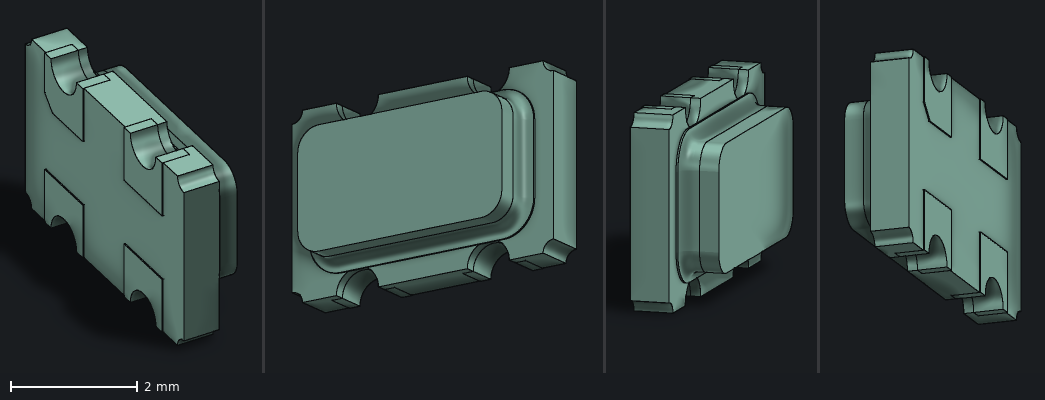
import cadquery as cq
import math

BASE_LENGTH = 5.0
BASE_WIDTH = 3.2
BASE_THICKNESS = 0.65
CORNER_NOTCH_RADIUS = 0.2

TERMINAL_SPACING = 2.5
TERMINAL_LENGTH = 1.2
TERMINAL_WIDTH = 1.0
TERMINAL_DEPTH = 0.5
TERMINAL_PROTRUSION = 0.02
CASTELLATION_RADIUS = 0.4
PIN_ONE_CHAMFER = 0.25

LID_LENGTH = 3.9
LID_WIDTH = 2.1
LID_THICKNESS = 0.32
LID_CORNER_RADIUS = 0.4
FLANGE_THICKNESS = 0.03
FRAME_FILLET_RADIUS = 0.19
FRAME_STRAIGHT_HEIGHT = 0.11

FRAME_HEIGHT = FLANGE_THICKNESS + FRAME_FILLET_RADIUS + FRAME_STRAIGHT_HEIGHT
FRAME_BACK = BASE_THICKNESS + FRAME_HEIGHT
TERMINAL_FRONT = -TERMINAL_PROTRUSION
TERMINAL_SIDES = [(side_x, side_z) for side_x in (-1, 1) for side_z in (-1, 1)]


def section_at(y):
    """Workplane parallel to XZ at height y, extruding toward +Y; local axes are (-X, Z)."""
    return cq.Workplane(cq.Plane(origin=(0, y, 0), xDir=(-1, 0, 0), normal=(0, 1, 0)))


def plate(length, width, y, thickness):
    return section_at(y).rect(length, width).extrude(thickness)


def rounded_plate(length, width, corner_radius, y, thickness):
    return plate(length, width, y, thickness).edges("|Y").fillet(corner_radius)


def terminal_block(side_x, side_z):
    """Terminal block flush with one long edge of the base; the pin-one block has a cut corner."""
    center_x = side_x * TERMINAL_SPACING / 2
    center_z = side_z * (BASE_WIDTH - TERMINAL_WIDTH) / 2
    pin_one = (side_x, side_z) == (-1, 1)
    block = plate(TERMINAL_LENGTH, TERMINAL_WIDTH, TERMINAL_FRONT, TERMINAL_DEPTH)
    if pin_one:
        block = block.edges("|Y and <X and <Z").chamfer(PIN_ONE_CHAMFER)
    return block.translate((center_x, 0, center_z))


def make_castellations():
    """Cylinders that cut the half-round grooves through base and terminals."""
    return (
        section_at(TERMINAL_FRONT)
        .rect(TERMINAL_SPACING, BASE_WIDTH, forConstruction=True)
        .vertices()
        .circle(CASTELLATION_RADIUS)
        .extrude(BASE_THICKNESS + TERMINAL_PROTRUSION)
    )


def make_terminal(side_x, side_z):
    return terminal_block(side_x, side_z).cut(make_castellations())


def make_base():
    base = plate(BASE_LENGTH, BASE_WIDTH, 0, BASE_THICKNESS)
    corner_notches = (
        section_at(0)
        .rect(BASE_LENGTH, BASE_WIDTH, forConstruction=True)
        .vertices()
        .circle(CORNER_NOTCH_RADIUS)
        .extrude(BASE_THICKNESS)
    )
    base = base.cut(corner_notches).cut(make_castellations())
    for side_x, side_z in TERMINAL_SIDES:
        base = base.cut(terminal_block(side_x, side_z))
    return base


def make_seal_frame():
    """Thin flange that sweeps up through a concave fillet to the lid outline."""
    outline = rounded_plate(
        LID_LENGTH + 2 * FRAME_FILLET_RADIUS,
        LID_WIDTH + 2 * FRAME_FILLET_RADIUS,
        LID_CORNER_RADIUS + FRAME_FILLET_RADIUS,
        BASE_THICKNESS,
        FRAME_HEIGHT,
    )
    wall_x = LID_LENGTH / 2
    flange_x = wall_x + FRAME_FILLET_RADIUS
    flange_back = BASE_THICKNESS + FLANGE_THICKNESS
    cove_back = flange_back + FRAME_FILLET_RADIUS
    arc_inset = FRAME_FILLET_RADIUS * math.cos(math.pi / 4)
    riser = rounded_plate(LID_LENGTH, LID_WIDTH, LID_CORNER_RADIUS, cove_back, FRAME_STRAIGHT_HEIGHT)
    cove_path = riser.faces("<Y").wires()
    cove = (
        cq.Workplane("XY")
        .moveTo(wall_x, FRAME_BACK)
        .lineTo(wall_x, cove_back)
        .threePointArc((flange_x - arc_inset, cove_back - arc_inset), (flange_x, flange_back))
        .lineTo(flange_x, FRAME_BACK)
        .close()
        .sweep(cove_path)
    )
    return outline.cut(cove)


def make_lid():
    return rounded_plate(LID_LENGTH, LID_WIDTH, LID_CORNER_RADIUS, FRAME_BACK, LID_THICKNESS)


base = make_base()
seal_frame = make_seal_frame()
lid = make_lid()
terminals = [make_terminal(side_x, side_z) for side_x, side_z in TERMINAL_SIDES]

result = cq.Compound.makeCompound(
    [base.val(), seal_frame.val(), lid.val(), *[terminal.val() for terminal in terminals]]
)